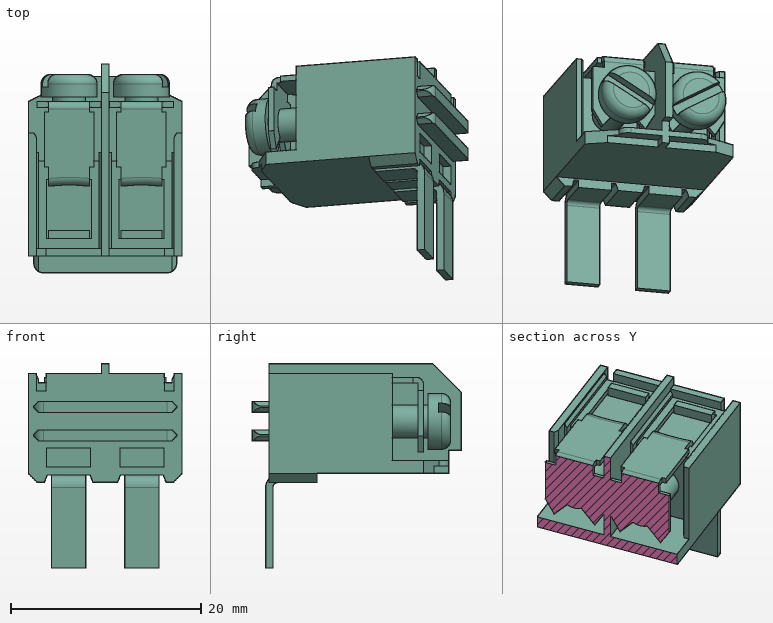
import cadquery as cq


HALF_WIDTH = 8.1
FLOOR_REAR = 18.92
FLOOR_TOP = 1.36
FLOOR_CORNER_START = 16.28
FLOOR_CORNER_SLOPE = 0.5
UNDERCUT_FRONT = 17.35
UNDERCUT_HEIGHT = 0.77
FLOOR_ROUND = 1.01
WALL = 0.85
WALL_TOP = 10.54
SIDE_WALL_REAR = 12.98
WALL_BEVEL_X = 0.29
WALL_BEVEL_Y = 0.48
FRONT_WALL = 0.84
NOTCH_WIDTH = 1.01
NOTCH_FLOOR = 8.7

DIVIDER_WIDTH = 0.8
DIVIDER_TOP = 11.55
DIVIDER_REAR = 20.25
DIVIDER_CHAMFER = 3.01
DIVIDER_TAIL_BOTTOM = 2.42

BLOCK_REAR = 10.03
BLOCK_TOP = 9.55
POCKET_WIDTH = 4.7
POCKET_FRONT = 1.85
POCKET_REAR = 8.05
POCKET_FLOOR = 8.98
BAR_DEPTH = 0.84
BAR_TOP = 10.03
LEDGE_WIDTH = 0.25
LEDGE_REAR = 10.91
LEDGE_WALL_TOP = 10.35
LEDGE_EDGE_TOP = 9.88

SKID_LENGTH = 5.05
SKID_HEIGHT = 0.92
SLOT_ROOF = -0.18
SLOT_TOP_WIDTH = 4.49
SLOT_BOTTOM_WIDTH = 5.08

WINDOW_WIDTH = 4.65
WINDOW_BOTTOM = 0.65
WINDOW_HEIGHT = 2.02
WINDOW_DEPTH = FRONT_WALL
RIB_HALF_LENGTH = 7.52
RIB_HEIGHT = 1.17
RIB_DEPTH = 1.75
RIB_BOTTOMS = (3.43, 6.42)
RIB_ROUND = 1.03
RIB_TIP = 0.13

POLE_PITCH = 7.61
LEG_PITCH = 7.7
PLATE_THICKNESS = 0.6
PLATE_TOP = 10.12
PLATE_NECK_WIDTH = 4.33
PLATE_WIDTH = 5.21
PLATE_WIDE_REAR = 15.15
PLATE_WIDE_FRONT = 9.37
PLATE_REAR = 16.25
PLATE_BEND = 0.77
LIP_FRONT = 7.48
LIP_BEND = 0.81
LIP_ARC = 19.35
TAB_WIDTH = 6.75
TAB_FRONT = PLATE_REAR - PLATE_THICKNESS
TAB_TOP = 8.71
TAB_BOTTOM = 2.25
TAB_TAPER_START = 3.94
TAB_TAPER_WIDTH = 1.03
TAB_NOTCH_SLOPE = 1.1
SCREW_Z = 5.48
SHANK_DIAMETER = 3.5
HEAD_DIAMETER = 5.9
HEAD_FRONT = 16.72
HEAD_REAR = 19.12
HEAD_ROUND = 1.0
SLOT_WIDTH = 1.08
SLOT_DEPTH = 1.3
SLOT_ANGLE = 30.0
LEG_WIDTH = 3.6
LEG_THICKNESS = 0.8
LEG_FRONT = -0.35
LEG_BOTTOM = -9.95
LEG_BEND = 1.28


def block(x_range, y_range, z_range):
    """Box between the given limits."""
    size = [high - low for low, high in (x_range, y_range, z_range)]
    corner = (x_range[0], y_range[0], z_range[0])
    return cq.Workplane("XY").box(*size, centered=False).translate(corner)


def centered_block(width, y_range, z_range):
    """Box centered on X = 0."""
    return block((-width / 2, width / 2), y_range, z_range)


def both_sides(shape):
    """The shape together with its mirror image across X = 0."""
    return shape.union(shape.mirror("YZ"))


def make_floor():
    """Floor plate with beveled and rounded rear corners, undercut along its rear edge."""
    corner_y = FLOOR_REAR - FLOOR_ROUND
    corner_x = HALF_WIDTH - (corner_y - FLOOR_CORNER_START) / FLOOR_CORNER_SLOPE
    half = (
        cq.Workplane("XY")
        .moveTo(0, 0)
        .lineTo(HALF_WIDTH, 0)
        .lineTo(HALF_WIDTH, FLOOR_CORNER_START)
        .lineTo(corner_x, corner_y)
        .radiusArc((corner_x - FLOOR_ROUND, FLOOR_REAR), -FLOOR_ROUND)
        .lineTo(0, FLOOR_REAR)
        .close()
        .extrude(FLOOR_TOP)
    )
    undercut = centered_block(2 * HALF_WIDTH, (UNDERCUT_FRONT, FLOOR_REAR), (0, UNDERCUT_HEIGHT))
    return both_sides(half).cut(undercut)


def make_walls():
    """Side walls, notched front wall and middle divider."""
    inner = HALF_WIDTH - WALL
    side = (
        cq.Workplane("XY")
        .moveTo(HALF_WIDTH, 0)
        .lineTo(HALF_WIDTH, SIDE_WALL_REAR)
        .lineTo(inner + WALL_BEVEL_X, SIDE_WALL_REAR)
        .lineTo(inner, SIDE_WALL_REAR - WALL_BEVEL_Y)
        .lineTo(inner, 0)
        .close()
        .extrude(WALL_TOP)
    )
    notch = block((inner - NOTCH_WIDTH, inner), (0, FRONT_WALL), (NOTCH_FLOOR, WALL_TOP))
    front = centered_block(2 * HALF_WIDTH, (0, FRONT_WALL), (0, WALL_TOP))
    divider = (
        cq.Workplane("YZ")
        .moveTo(0, 0)
        .lineTo(FLOOR_REAR, 0)
        .lineTo(FLOOR_REAR, DIVIDER_TAIL_BOTTOM)
        .lineTo(DIVIDER_REAR, DIVIDER_TAIL_BOTTOM)
        .lineTo(DIVIDER_REAR, DIVIDER_TOP - DIVIDER_CHAMFER)
        .lineTo(DIVIDER_REAR - DIVIDER_CHAMFER, DIVIDER_TOP)
        .lineTo(0, DIVIDER_TOP)
        .close()
        .extrude(DIVIDER_WIDTH / 2, both=True)
    )
    return front.cut(both_sides(notch)).union(both_sides(side)).union(divider)


def make_ledge():
    """Sloped ledge along the inside of the +X wall."""
    inner = HALF_WIDTH - WALL
    return (
        cq.Workplane("XZ", origin=(0, FRONT_WALL, 0))
        .moveTo(inner, FLOOR_TOP)
        .lineTo(inner, LEDGE_WALL_TOP)
        .lineTo(inner - LEDGE_WIDTH, LEDGE_EDGE_TOP)
        .lineTo(inner - LEDGE_WIDTH, FLOOR_TOP)
        .close()
        .extrude(FRONT_WALL - LEDGE_REAR)
    )


def make_terminal_blocks():
    """Blocks behind the front wall, with ledges on both sides of each channel."""
    ledge = make_ledge()
    channel_center = (HALF_WIDTH - WALL + DIVIDER_WIDTH / 2) / 2
    opposite = ledge.mirror("YZ").translate((2 * channel_center, 0, 0))
    fill = centered_block(2 * (HALF_WIDTH - WALL), (FRONT_WALL, BLOCK_REAR), (0, BLOCK_TOP))
    pocket = centered_block(POCKET_WIDTH, (POCKET_FRONT, POCKET_REAR), (POCKET_FLOOR, BLOCK_TOP))
    pocket = pocket.translate((POLE_PITCH / 2, 0, 0))
    return fill.cut(both_sides(pocket)).union(both_sides(ledge.union(opposite)))


def make_skid():
    """Beveled skid under the front, with a tapered slot for each leg."""
    skid = (
        cq.Workplane("XZ")
        .moveTo(-HALF_WIDTH, 0)
        .lineTo(HALF_WIDTH, 0)
        .lineTo(HALF_WIDTH - SKID_HEIGHT, -SKID_HEIGHT)
        .lineTo(SKID_HEIGHT - HALF_WIDTH, -SKID_HEIGHT)
        .close()
        .extrude(-SKID_LENGTH)
    )
    center = LEG_PITCH / 2
    slot = (
        cq.Workplane("XZ")
        .moveTo(center - SLOT_TOP_WIDTH / 2, SLOT_ROOF)
        .lineTo(center + SLOT_TOP_WIDTH / 2, SLOT_ROOF)
        .lineTo(center + SLOT_BOTTOM_WIDTH / 2, -SKID_HEIGHT)
        .lineTo(center - SLOT_BOTTOM_WIDTH / 2, -SKID_HEIGHT)
        .close()
        .extrude(-SKID_LENGTH)
    )
    return skid.cut(both_sides(slot))


def make_rib(bottom):
    """Front rib with beveled ends and corners rounded in plan."""
    bar = centered_block(2 * RIB_HALF_LENGTH, (-RIB_DEPTH, 0), (bottom, bottom + RIB_HEIGHT))
    bevel = (RIB_HEIGHT - RIB_TIP) / 2
    rounded = bar.edges("|Z and <Y").fillet(RIB_ROUND)
    return rounded.intersect(bar.edges("|Y").chamfer(bevel))


def make_windows():
    """Blind rectangular windows in the front face."""
    z_range = (WINDOW_BOTTOM, WINDOW_BOTTOM + WINDOW_HEIGHT)
    window = centered_block(WINDOW_WIDTH, (0, WINDOW_DEPTH), z_range)
    return both_sides(window.translate((LEG_PITCH / 2, 0, 0)))


def make_lip():
    """Rounded front lip of the clamp plate, curved in plan and resting on the pocket floor."""
    lip_back = LIP_ARC + LIP_BEND
    ring = (
        cq.Workplane("XZ", origin=(0, LIP_FRONT - LIP_ARC, 0))
        .moveTo(LIP_ARC, POCKET_FLOOR)
        .lineTo(LIP_ARC, PLATE_TOP - LIP_BEND)
        .radiusArc((lip_back, PLATE_TOP), LIP_BEND)
        .lineTo(lip_back, POCKET_FLOOR)
        .close()
        .revolve(360, (0, 0), (0, 1))
    )
    return ring.intersect(centered_block(PLATE_NECK_WIDTH, (0, BLOCK_REAR), (0, PLATE_TOP)))


def make_tab():
    """Upright tab under the screw head, with two pointed feet."""
    tab = centered_block(TAB_WIDTH, (TAB_FRONT, PLATE_REAR), (TAB_BOTTOM, TAB_TOP))
    tab = tab.edges("|Y and <Z").chamfer(TAB_TAPER_START - TAB_BOTTOM, TAB_TAPER_WIDTH)
    foot_x = TAB_WIDTH / 2 - TAB_TAPER_WIDTH
    notch = (
        cq.Workplane("XZ", origin=(0, PLATE_REAR, 0))
        .moveTo(-foot_x, TAB_BOTTOM)
        .lineTo(foot_x, TAB_BOTTOM)
        .lineTo(0, TAB_BOTTOM + foot_x * TAB_NOTCH_SLOPE)
        .close()
        .extrude(PLATE_THICKNESS)
    )
    return tab.cut(notch)


def make_plate():
    """Clamp plate bent down into the tab and the lip, and the bar at the front of the pocket."""
    under = PLATE_TOP - PLATE_THICKNESS
    neck = centered_block(PLATE_NECK_WIDTH, (LIP_FRONT, PLATE_REAR), (under, PLATE_TOP))
    trim = (
        cq.Workplane("XY", origin=(0, LIP_FRONT - LIP_ARC, under))
        .circle(LIP_ARC + LIP_BEND)
        .extrude(PLATE_THICKNESS)
    )
    riser = centered_block(PLATE_NECK_WIDTH, (TAB_FRONT, PLATE_REAR), (TAB_TOP, PLATE_TOP))
    bent = neck.cut(trim).union(riser).edges("|X and >Y and >Z").fillet(PLATE_BEND)
    wide = centered_block(PLATE_WIDTH, (PLATE_WIDE_FRONT, PLATE_WIDE_REAR), (under, PLATE_TOP))
    bar_y = (POCKET_FRONT, POCKET_FRONT + BAR_DEPTH)
    bar = centered_block(PLATE_NECK_WIDTH, bar_y, (POCKET_FLOOR, BAR_TOP))
    return bent.union(wide).union(make_lip()).union(make_tab()).union(bar)


def make_screw():
    """Slotted pan-head screw reaching forward into the terminal block."""
    def rod(diameter, rear, front):
        return cq.Workplane("XZ", origin=(0, rear, SCREW_Z)).circle(diameter / 2).extrude(rear - front)

    head = rod(HEAD_DIAMETER, HEAD_REAR, HEAD_FRONT).faces(">Y").edges().fillet(HEAD_ROUND)
    slot = (
        cq.Workplane("XZ", origin=(0, HEAD_REAR, SCREW_Z))
        .transformed(rotate=(0, 0, SLOT_ANGLE))
        .rect(2 * HEAD_DIAMETER, SLOT_WIDTH)
        .extrude(SLOT_DEPTH)
    )
    return head.cut(slot).union(rod(SHANK_DIAMETER, HEAD_FRONT, BLOCK_REAR))


def make_leg():
    """Solder leg running under the skid and bent down in front of it."""
    back = LEG_FRONT + LEG_THICKNESS
    bottom = SLOT_ROOF - LEG_THICKNESS
    bend_y = LEG_FRONT + LEG_BEND
    bend_z = SLOT_ROOF - LEG_BEND
    return (
        cq.Workplane("YZ")
        .moveTo(SKID_LENGTH, SLOT_ROOF)
        .lineTo(bend_y, SLOT_ROOF)
        .radiusArc((LEG_FRONT, bend_z), -LEG_BEND)
        .lineTo(LEG_FRONT, LEG_BOTTOM)
        .lineTo(back, LEG_BOTTOM)
        .lineTo(back, bend_z)
        .radiusArc((bend_y, bottom), LEG_BEND - LEG_THICKNESS)
        .lineTo(SKID_LENGTH, bottom)
        .close()
        .extrude(LEG_WIDTH / 2, both=True)
    )


housing = make_floor().union(make_walls()).union(make_terminal_blocks()).union(make_skid())
housing = housing.cut(make_windows())
for rib_bottom in RIB_BOTTOMS:
    housing = housing.union(make_rib(rib_bottom))

clamp = make_plate().union(make_screw()).translate((POLE_PITCH / 2, 0, 0))
leg = make_leg().translate((LEG_PITCH / 2, 0, 0))
result = housing.union(both_sides(clamp)).union(both_sides(leg))